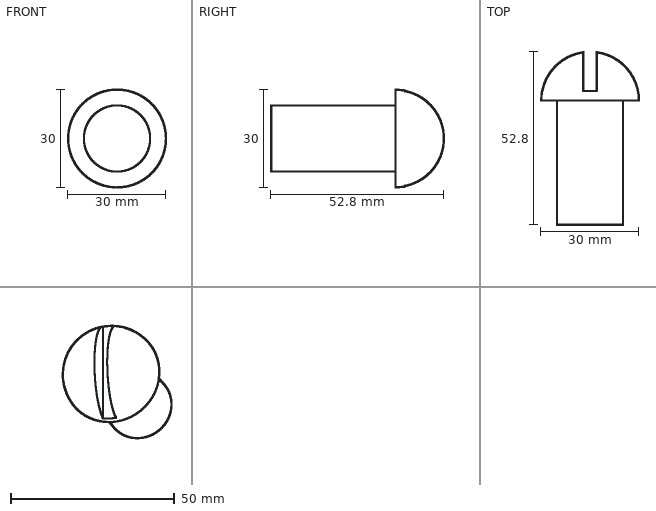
import cadquery as cq
import math

overall_length = 52.85
head_radius = 15.0
shank_diameter = 20.3
slot_width = 4.0
slot_floor_height = 3.0

head_height = math.sqrt(head_radius**2 - (slot_width / 2) ** 2)
shank_length = overall_length - head_height


def make_head():
    """Half-sphere on the XZ plane, domed toward +Y."""
    return (
        cq.Workplane("XY")
        .moveTo(0, 0)
        .lineTo(head_radius, 0)
        .radiusArc((0, head_radius), -head_radius)
        .close()
        .revolve(360, (0, 0, 0), (0, 1, 0))
    )


def make_shank():
    """Plain cylinder running from the head underside toward -Y."""
    return cq.Workplane("XZ").circle(shank_diameter / 2).extrude(shank_length)


def make_slot():
    """Screwdriver slot across the full head along Z."""
    return (
        cq.Workplane("XY")
        .box(slot_width, head_radius, 2 * head_radius, centered=(True, False, True))
        .translate((0, slot_floor_height, 0))
    )


result = make_head().union(make_shank()).cut(make_slot())